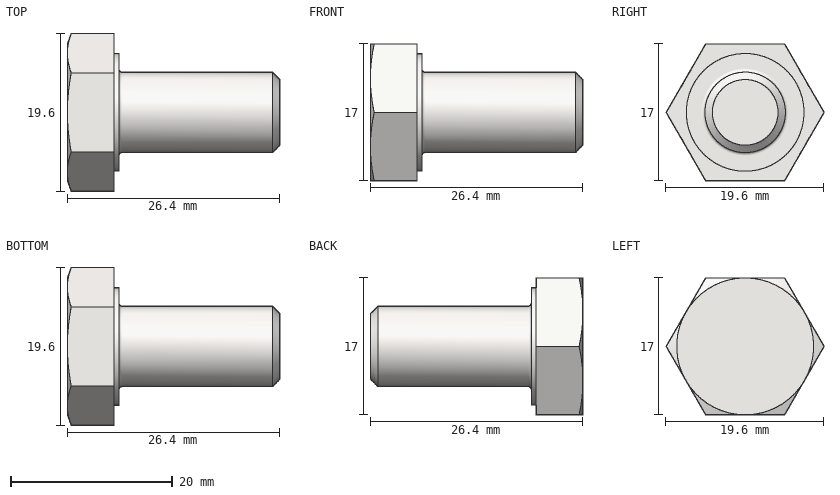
import cadquery as cq
import math

total_length = 26.4
across_flats = 17.0
head_height = 5.8
washer_thickness = 0.6
washer_diameter = 14.63
shank_diameter = 10.0
neck_fillet = 0.4
tip_chamfer = 0.92
crown_angle = 20.0

across_corners = across_flats / math.cos(math.radians(30))
corner_overhang = (across_corners - across_flats) / 2
crown_depth = corner_overhang * math.tan(math.radians(crown_angle))
shank_radius = shank_diameter / 2
seat_x = head_height + washer_thickness


def make_head():
    """Hexagonal head with corners on Y and a conically chamfered outer face."""
    hexagon = cq.Workplane("YZ").polygon(6, across_corners).extrude(head_height)
    crown = (
        cq.Workplane("XY")
        .moveTo(0, 0)
        .lineTo(0, across_flats / 2)
        .lineTo(crown_depth, across_corners / 2)
        .lineTo(head_height, across_corners / 2)
        .lineTo(head_height, 0)
        .close()
        .revolve(360, (0, 0, 0), (1, 0, 0))
    )
    return hexagon.intersect(crown)


def make_shank():
    """Washer face, concave neck fillet and shank with a chamfered tip."""
    arc_offset = neck_fillet * (1 - math.sqrt(0.5))
    return (
        cq.Workplane("XY")
        .moveTo(head_height, 0)
        .lineTo(head_height, washer_diameter / 2)
        .lineTo(seat_x, washer_diameter / 2)
        .lineTo(seat_x, shank_radius + neck_fillet)
        .threePointArc(
            (seat_x + arc_offset, shank_radius + arc_offset),
            (seat_x + neck_fillet, shank_radius),
        )
        .lineTo(total_length - tip_chamfer, shank_radius)
        .lineTo(total_length, shank_radius - tip_chamfer)
        .lineTo(total_length, 0)
        .close()
        .revolve(360, (0, 0, 0), (1, 0, 0))
    )


result = make_head().union(make_shank())